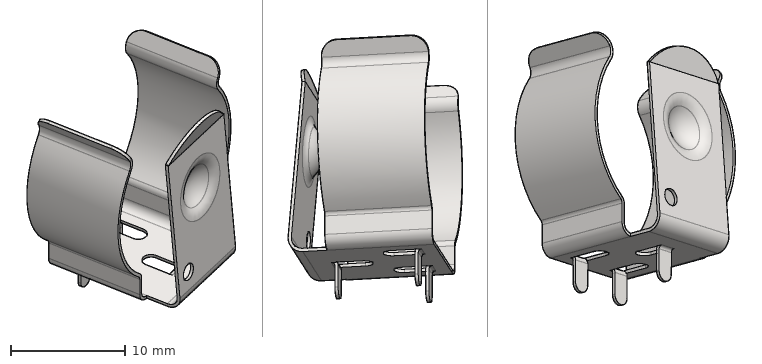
import cadquery as cq
import math


THICKNESS = 0.3
CLIP_LENGTH = 9.52
CLIP_HALF_WIDTH = 9.05
CLIP_HEIGHT = 18.28
BASE_WIDTH = 8.9
BASE_BEND_RADIUS = 1.1
ARM_RADIUS = 9.27
ARM_CENTER_Z = 10.27
ARM_TOP_ANGLE = 36.8
WAIST_RADIUS = 0.47
NECK_RADIUS = 0.92
LIP_ANGLE = 60.0
LIP_CORNER_RADIUS = 1.5

SPRING_REACH = 13.0
SPRING_BEND_RADIUS = 1.32
SPRING_LEAN = 5.0
SPRING_KINK_Z = 15.55
FLAP_LEAN = 15.0
SPRING_HEIGHT = 17.78

DOME_Z = 10.48
DOME_HEIGHT = 1.22
DOME_RADIUS = 3.12
DOME_CAP_RADIUS = 2.2
HOLE_DIAMETER = 1.58
HOLE_Y = -2.86
HOLE_Z = 3.25

PIN_WIDTH = 1.58
PIN_DROP = 3.07
PIN_BEND_RADIUS = 0.3
OUTER_PIN_Y = 2.55
SLOT_LENGTH = 3.55
OUTER_PIN_ROOT_X = 1.32
MIDDLE_PIN_ROOT_X = 9.82


def polar(center, radius, degrees):
    """Point at the given radius and angle around a 2D center."""
    angle = math.radians(degrees)
    return center[0] + radius * math.cos(angle), center[1] + radius * math.sin(angle)


def add_arc(sketch, center, radius, start, end):
    """Continue the outline, standing at the arc start, along the arc."""
    middle = (start + end) / 2
    return sketch.threePointArc(polar(center, radius, middle), polar(center, radius, end))


def add_line_and_arc(sketch, center, radius, start, end):
    """Continue the outline straight to the arc start, then along the arc."""
    return add_arc(sketch.lineTo(*polar(center, radius, start)), center, radius, start, end)


def clip_half():
    """The +Y half of the band: base, bend, wall, round arm and flared lip."""
    base_half = BASE_WIDTH / 2
    wall_y = base_half + BASE_BEND_RADIUS
    arm_center = (CLIP_HALF_WIDTH - ARM_RADIUS, ARM_CENTER_Z)
    waist_reach = wall_y + WAIST_RADIUS - arm_center[0]
    arm_bottom_angle = math.degrees(math.acos(waist_reach / (ARM_RADIUS + WAIST_RADIUS)))

    bend_center = (base_half, BASE_BEND_RADIUS)
    waist_center = polar(arm_center, ARM_RADIUS + WAIST_RADIUS, -arm_bottom_angle)
    neck_center = polar(arm_center, ARM_RADIUS + NECK_RADIUS, ARM_TOP_ANGLE)

    waist_end = 180 - arm_bottom_angle
    neck_start = 180 + ARM_TOP_ANGLE
    neck_end = 90 + LIP_ANGLE
    inner_lip_start = polar(neck_center, NECK_RADIUS + THICKNESS, neck_end)
    outer_lip_start = polar(neck_center, NECK_RADIUS, neck_end)
    lip_length = (CLIP_HEIGHT - inner_lip_start[1]) / math.sin(math.radians(LIP_ANGLE))

    outline = cq.Workplane("YZ").moveTo(0, 0)
    outline = add_line_and_arc(outline, bend_center, BASE_BEND_RADIUS, -90, 0)
    outline = add_line_and_arc(outline, waist_center, WAIST_RADIUS, 180, waist_end)
    outline = add_arc(outline, arm_center, ARM_RADIUS, -arm_bottom_angle, ARM_TOP_ANGLE)
    outline = add_arc(outline, neck_center, NECK_RADIUS, neck_start, neck_end)
    outline = outline.lineTo(*polar(outer_lip_start, lip_length, LIP_ANGLE))

    outline = outline.lineTo(*polar(inner_lip_start, lip_length, LIP_ANGLE))
    outline = add_line_and_arc(outline, neck_center, NECK_RADIUS + THICKNESS, neck_end, neck_start)
    outline = add_arc(outline, arm_center, ARM_RADIUS - THICKNESS, ARM_TOP_ANGLE, -arm_bottom_angle)
    outline = add_arc(outline, waist_center, WAIST_RADIUS + THICKNESS, waist_end, 180)
    outline = add_line_and_arc(outline, bend_center, BASE_BEND_RADIUS - THICKNESS, 0, -90)
    half = outline.lineTo(0, THICKNESS).close().extrude(CLIP_LENGTH)

    across_lip = cq.Vector(0, *polar((0, 0), 1, neck_end))
    lip_corners = half.edges(cq.selectors.ParallelDirSelector(across_lip))
    return lip_corners.fillet(LIP_CORNER_RADIUS)


def spring_plane(x, y, z, lean):
    """Plane on a spring face: local x is +Y, local y runs up the sheet, normal points to +X."""
    angle = math.radians(lean)
    normal = (math.cos(angle), 0, -math.sin(angle))
    return cq.Plane(origin=(x, y, z), xDir=(0, 1, 0), normal=normal)


def dome_shell(plane):
    """Hollow dome of sheet thickness, bulging from the inner spring face toward -X."""
    edge_angle = 2 * math.degrees(math.atan(DOME_HEIGHT / DOME_RADIUS))
    edge_sine = math.sin(math.radians(edge_angle))
    cap_sphere_radius = DOME_CAP_RADIUS / edge_sine
    rim_radius = (DOME_RADIUS - DOME_CAP_RADIUS) / edge_sine
    cap_center = (0, cap_sphere_radius - DOME_HEIGHT)
    rim_center = (DOME_RADIUS, -rim_radius)

    section_plane = cq.Plane(origin=plane.origin, xDir=plane.xDir, normal=-plane.yDir)
    section = cq.Workplane(section_plane).moveTo(0, -DOME_HEIGHT)
    section = add_arc(section, cap_center, cap_sphere_radius, -90, edge_angle - 90)
    section = add_arc(section, rim_center, rim_radius, edge_angle + 90, 90)
    section = add_line_and_arc(section, rim_center, rim_radius + THICKNESS, 90, edge_angle + 90)
    section = add_arc(section, cap_center, cap_sphere_radius - THICKNESS, edge_angle - 90, -90)
    return section.close().revolve(360, (0, 0), (0, 1))


def end_spring():
    """Leaning spring with an arched flap, the contact dome and a round hole."""
    bend_center = (SPRING_REACH - SPRING_BEND_RADIUS, SPRING_BEND_RADIUS)
    inner_bend_radius = SPRING_BEND_RADIUS - THICKNESS
    bend_top = polar(bend_center, inner_bend_radius, SPRING_LEAN)
    lean_slope = math.tan(math.radians(SPRING_LEAN))

    def inner_face_x(z):
        return bend_top[0] - (z - bend_top[1]) * lean_slope

    kink = (inner_face_x(SPRING_KINK_Z), SPRING_KINK_Z)
    join_x = CLIP_LENGTH - THICKNESS
    profile = cq.Workplane("XZ").moveTo(join_x, 0)
    profile = add_line_and_arc(profile, bend_center, SPRING_BEND_RADIUS, -90, SPRING_LEAN)
    profile = profile.lineTo(*polar(kink, THICKNESS, SPRING_LEAN)).lineTo(*kink)
    profile = add_line_and_arc(profile, bend_center, inner_bend_radius, SPRING_LEAN, -90)
    profile = profile.lineTo(join_x, THICKNESS).close()
    spring = profile.extrude(BASE_WIDTH / 2, both=True)

    flap_length = (SPRING_HEIGHT - SPRING_KINK_Z) / math.cos(math.radians(FLAP_LEAN))
    flap = (
        cq.Workplane(spring_plane(kink[0], 0, kink[1], FLAP_LEAN))
        .moveTo(-BASE_WIDTH / 2, 0)
        .threePointArc((0, flap_length), (BASE_WIDTH / 2, 0))
        .close()
        .extrude(THICKNESS)
    )

    dome_plane = spring_plane(inner_face_x(DOME_Z), 0, DOME_Z, -SPRING_LEAN)
    dome_opening = cq.Workplane(dome_plane).circle(DOME_RADIUS).extrude(THICKNESS)
    hole_plane = spring_plane(inner_face_x(HOLE_Z), HOLE_Y, HOLE_Z, -SPRING_LEAN)
    hole = cq.Workplane(hole_plane).circle(HOLE_DIAMETER / 2).extrude(THICKNESS)
    return spring.union(flap).cut(dome_opening).cut(hole).union(dome_shell(dome_plane))


def tongue(plane, length, thickness):
    """Pin-wide plate along local +x: square at the origin, fully rounded at the far end."""
    half = PIN_WIDTH / 2
    return (
        cq.Workplane(plane)
        .moveTo(0, -half)
        .lineTo(length - half, -half)
        .threePointArc((length, 0), (length - half, half))
        .lineTo(0, half)
        .close()
        .extrude(thickness)
    )


def pin_slot(root_x, y, direction):
    """Opening left in the base by a pin, with its square end at the pin root."""
    plane = cq.Plane(origin=(root_x, y, THICKNESS), xDir=(direction, 0, 0), normal=(0, 0, -1))
    return tongue(plane, SLOT_LENGTH, THICKNESS)


def pin(root_x, y, direction):
    """Pin bent down from its root, with a fully rounded tip."""
    bend_center = (0, -PIN_BEND_RADIUS)
    outer_radius = PIN_BEND_RADIUS + THICKNESS
    bend = cq.Workplane("XZ").moveTo(0, 0)
    bend = add_arc(bend, bend_center, PIN_BEND_RADIUS, 90, 0)
    bend = add_line_and_arc(bend, bend_center, outer_radius, 0, 90).close()
    bend = bend.extrude(PIN_WIDTH / 2, both=True)

    leg_top = (PIN_BEND_RADIUS, 0, -PIN_BEND_RADIUS)
    leg_plane = cq.Plane(origin=leg_top, xDir=(0, 0, -1), normal=(1, 0, 0))
    folded = bend.union(tongue(leg_plane, PIN_DROP - PIN_BEND_RADIUS, THICKNESS))
    if direction < 0:
        folded = folded.mirror("YZ")
    return folded.translate((root_x, y, 0))


half_clip = clip_half()
result = half_clip.union(half_clip.mirror("XZ")).union(end_spring())

pin_placements = [
    (OUTER_PIN_ROOT_X, OUTER_PIN_Y, 1),
    (OUTER_PIN_ROOT_X, -OUTER_PIN_Y, 1),
    (MIDDLE_PIN_ROOT_X, 0, -1),
]
for placement in pin_placements:
    result = result.cut(pin_slot(*placement)).union(pin(*placement))